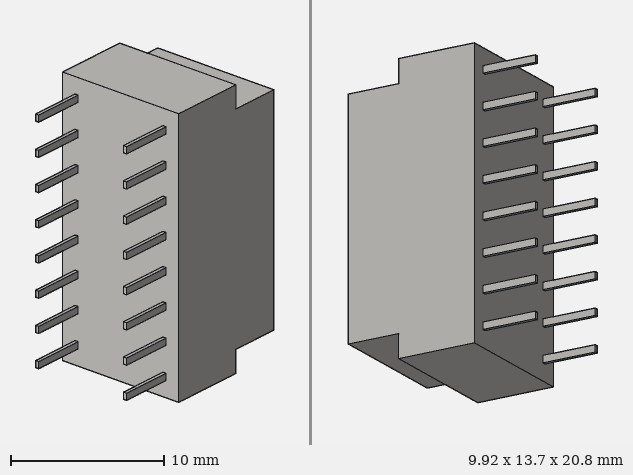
import cadquery as cq

width = 9.92
height = 20.83
total_depth = 13.65
pin_length = 4.0
base_depth = 5.8
rear_depth = total_depth - pin_length - base_depth
rear_height = 17.35

pins_per_row = 8
pin_pitch = 2.55
row_spacing = 7.5
pin_width = 0.27
pin_height = 0.52


def block(size_x, size_y, size_z, front_y):
    """Box centred in X and Z that extends toward +Y from front_y."""
    return cq.Workplane("XY").box(size_x, size_y, size_z).translate((0, front_y + size_y / 2, 0))


def make_housing():
    base = block(width, base_depth, height, 0)
    rear = block(width, rear_depth, rear_height, base_depth)
    return base.union(rear)


def make_pins():
    """Pins standing out of the front face, at Y = 0, toward -Y."""
    return (
        cq.Workplane("XZ")
        .rarray(row_spacing, pin_pitch, 2, pins_per_row)
        .rect(pin_width, pin_height)
        .extrude(pin_length)
    )


result = make_housing().union(make_pins())